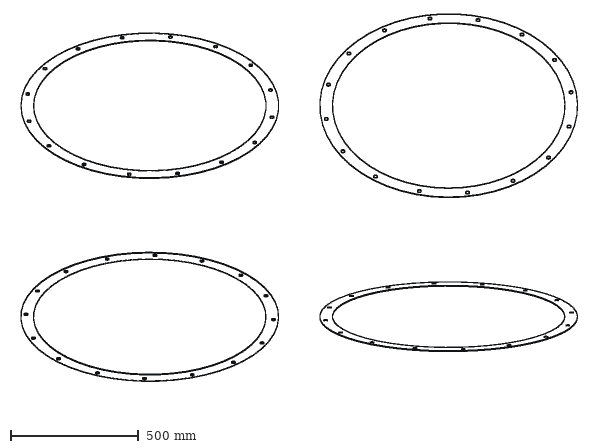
import cadquery as cq

outer_diameter = 1010.0
ring_width = 50.0
thickness = 4.0

hole_count = 16
hole_diameter = 15.0
bolt_circle_diameter = 970.0

inner_diameter = outer_diameter - 2 * ring_width


def make_ring():
    """Plain flat ring."""
    return (
        cq.Workplane("XY")
        .circle(outer_diameter / 2)
        .circle(inner_diameter / 2)
        .extrude(thickness)
    )


def make_bolt_holes():
    """Cylinders that cut the bolt holes through the full thickness."""
    return (
        cq.Workplane("XY")
        .polarArray(bolt_circle_diameter / 2, 0, 360, hole_count)
        .circle(hole_diameter / 2)
        .extrude(thickness)
    )


result = make_ring().cut(make_bolt_holes())